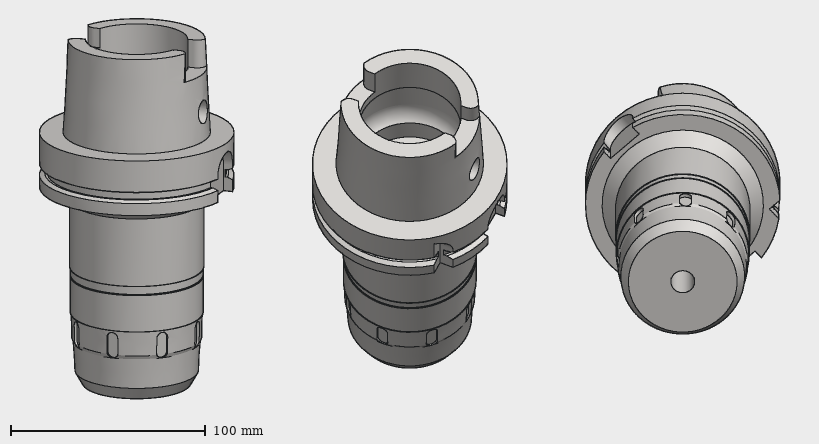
import cadquery as cq
import math

length = 185.0
flange_top_z = 135.0
flange_bottom_z = 105.6

shank_end_radius = 35.3
shank_base_radius = 38.0
bore_radius = 26.3
bore_lip_depth = 20.2
undercut_radius = 31.5
shoulder_top_z = 144.0
shoulder_round = 10.0
bore_floor_z = 123.5
counterbore_radius = 12.2
counterbore_depth = 9.2
through_radius = 6.1
cross_hole_radius = 6.1
cross_hole_z = 150.2

notch_width = 19.6
notch_depth_left = 10.4
notch_depth_right = 15.0
finger_half_span = 32.5
finger_round = 5.0

flange_diameter = 100.0
flange_radius = flange_diameter / 2
groove_radius = 46.0
groove_chamfer_radius = 47.4
groove_bottom_z = 112.1
groove_top_z = 118.2
groove_chamfer_rise = 1.1
keyway_width = 20.0
keyway_top_z = 130.0
keyway_floor_x = 44.0
side_keyway_floor_x = 31.8
side_keyway_y = 41.3

collar_radius = 41.5
body_radius = 34.6
body_top_z = 99.0
body_bottom_z = 62.5

nut_radius = 34.2
seam_z = 58.0
seam_width = 0.5
seam_depth = 0.4
band_top_z = 38.0
band_top_radius = 33.9
band_bottom_z = 24.8
band_bottom_radius = 33.5
nose_top_z = 22.8
nose_top_radius = 32.7
nose_chamfer_z = 6.8
nose_chamfer_radius = 31.8
nose_radius = 28.0

spanner_count = 8
spanner_width = 6.1
spanner_bottom_z = 23.0
spanner_top_z = 36.8
spanner_floor_radius = 32.0


def turned_body():
    """Outer shape of the holder, turned around the Z axis from a (radius, height) outline."""
    outline = [
        (0, 0),
        (nose_radius, 0),
        (nose_chamfer_radius, nose_chamfer_z),
        (nose_top_radius, nose_top_z),
        (band_bottom_radius, band_bottom_z),
        (band_top_radius, band_top_z),
        (nut_radius, band_top_z),
        (nut_radius, seam_z - seam_width),
        (nut_radius - seam_depth, seam_z),
        (nut_radius, seam_z),
        (nut_radius, body_bottom_z),
        (body_radius, body_bottom_z),
        (body_radius, body_top_z),
        (collar_radius, flange_bottom_z),
        (flange_radius, flange_bottom_z),
        (flange_radius, groove_bottom_z),
        (groove_chamfer_radius, groove_bottom_z + groove_chamfer_rise),
        (groove_radius, groove_bottom_z + groove_chamfer_rise),
        (groove_radius, groove_top_z - groove_chamfer_rise),
        (groove_chamfer_radius, groove_top_z - groove_chamfer_rise),
        (flange_radius, groove_top_z),
        (flange_radius, flange_top_z),
        (shank_base_radius, flange_top_z),
        (shank_end_radius, length),
        (0, length),
    ]
    return cq.Workplane("XZ").polyline(outline).close().revolve(360, (0, 0, 0), (0, 1, 0))


def bore():
    """Axial bore: lip, wider undercut with a rounded lower shoulder, pilot, counterbore and through hole."""
    lip_z = length - bore_lip_depth
    counterbore_z = bore_floor_z - counterbore_depth
    shoulder_center = undercut_radius - shoulder_round

    def shoulder_z(radius):
        return shoulder_top_z - math.sqrt(shoulder_round**2 - (radius - shoulder_center) ** 2)

    mid_radius = (bore_radius + undercut_radius) / 2
    return (
        cq.Workplane("XZ")
        .moveTo(0, 0)
        .lineTo(through_radius, 0)
        .lineTo(through_radius, counterbore_z)
        .lineTo(counterbore_radius, counterbore_z)
        .lineTo(counterbore_radius, bore_floor_z)
        .lineTo(bore_radius, bore_floor_z)
        .lineTo(bore_radius, shoulder_z(bore_radius))
        .threePointArc((mid_radius, shoulder_z(mid_radius)), (undercut_radius, shoulder_top_z))
        .lineTo(undercut_radius, lip_z)
        .lineTo(bore_radius, lip_z)
        .lineTo(bore_radius, length)
        .lineTo(0, length)
        .close()
        .revolve(360, (0, 0, 0), (0, 1, 0))
    )


def cross_hole():
    """Round hole along X through both shank walls."""
    return (
        cq.Workplane("YZ")
        .center(0, cross_hole_z)
        .circle(cross_hole_radius)
        .extrude(flange_radius, both=True)
    )


def driving_notch(side, depth):
    """Notch through the shank wall at +X (side 1) or -X (side -1), with rounded finger ends."""
    half_width = notch_width / 2
    round_start = finger_half_span - finger_round
    round_end = half_width + finger_round
    round_mid = finger_round * math.sqrt(0.5)
    mid_x = round_start + round_mid
    mid_y = round_end - round_mid
    return (
        cq.Workplane("XY", origin=(0, 0, length - depth))
        .moveTo(0, -half_width)
        .lineTo(side * round_start, -half_width)
        .threePointArc((side * mid_x, -mid_y), (side * finger_half_span, -round_end))
        .lineTo(side * finger_half_span, -flange_radius)
        .lineTo(side * flange_radius, -flange_radius)
        .lineTo(side * flange_radius, flange_radius)
        .lineTo(side * finger_half_span, flange_radius)
        .lineTo(side * finger_half_span, round_end)
        .threePointArc((side * mid_x, mid_y), (side * round_start, half_width))
        .lineTo(0, half_width)
        .close()
        .extrude(depth)
    )


def keyway(side, floor_x, center_y):
    """Round-topped keyway open at the flange underside, with a flat floor facing along X."""
    half_width = keyway_width / 2
    arc_z = keyway_top_z - half_width
    return (
        cq.Workplane("YZ", origin=(side * floor_x, 0, 0))
        .moveTo(center_y - half_width, flange_bottom_z)
        .lineTo(center_y - half_width, arc_z)
        .threePointArc((center_y, keyway_top_z), (center_y + half_width, arc_z))
        .lineTo(center_y + half_width, flange_bottom_z)
        .close()
        .extrude(side * flange_radius)
    )


def spanner_slots():
    """Evenly spaced upright slots with flat floors around the nut."""
    slots = cq.Workplane("XY")
    slot_length = spanner_top_z - spanner_bottom_z
    slot_z = (spanner_top_z + spanner_bottom_z) / 2
    for index in range(spanner_count):
        slot = (
            cq.Workplane("YZ", origin=(spanner_floor_radius, 0, slot_z))
            .slot2D(slot_length, spanner_width, 90)
            .extrude(nut_radius)
            .rotate((0, 0, 0), (0, 0, 1), index * 360 / spanner_count)
        )
        slots = slots.add(slot)
    return slots.combine()


result = (
    turned_body()
    .cut(bore())
    .cut(cross_hole())
    .cut(driving_notch(-1, notch_depth_left))
    .cut(driving_notch(1, notch_depth_right))
    .cut(keyway(-1, keyway_floor_x, 0))
    .cut(keyway(1, keyway_floor_x, 0))
    .cut(keyway(-1, side_keyway_floor_x, side_keyway_y))
    .cut(spanner_slots())
)